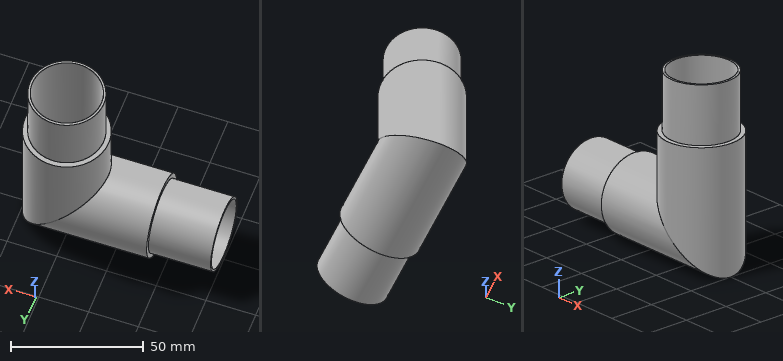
import cadquery as cq

body_diameter = 33.7
body_wall = 2.0
spigot_wall = 1.0
spigot_length = 25.0
overall_length = 80.0

body_radius = body_diameter / 2
spigot_radius = body_radius - body_wall
bore_radius = spigot_radius - spigot_wall
axis_to_end = overall_length - body_radius
axis_to_shoulder = axis_to_end - spigot_length


def vertical_rod(radius, top):
    """Round rod up to `top`, its lower end cut on the 45 degree mitre plane z = -x."""
    rod = cq.Workplane("XY").workplane(offset=-radius).circle(radius).extrude(top + radius)
    above_mitre = (
        cq.Workplane("XZ")
        .moveTo(-radius, radius)
        .lineTo(radius, -radius)
        .lineTo(radius, top)
        .lineTo(-radius, top)
        .close()
        .extrude(radius, both=True)
    )
    return rod.intersect(above_mitre)


def mitred_elbow(radius, end):
    """Solid round elbow: the vertical rod joined to its reflection in the mitre plane."""
    upright = vertical_rod(radius, end)
    level = upright.rotate((0, 0, 0), (-1, 0, 1), 180)
    return upright.union(level)


body = mitred_elbow(body_radius, axis_to_shoulder)
spigots = mitred_elbow(spigot_radius, axis_to_end)
bore = mitred_elbow(bore_radius, axis_to_end)

result = body.union(spigots).cut(bore)